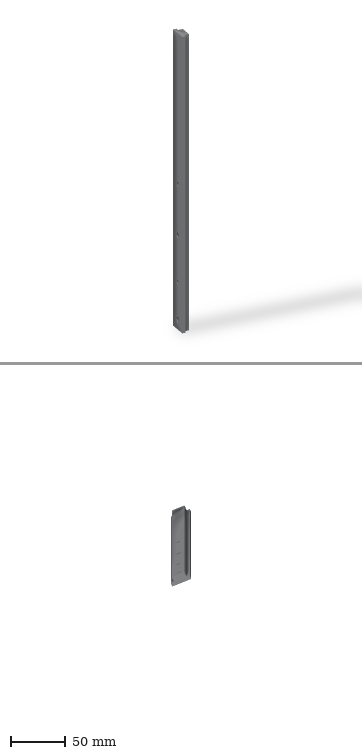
import cadquery as cq

length = 300.0
flange_width = 19.0
depth = 8.4

flange_thickness = 3.4
rib_width = 12.5

large_diameter = 5.0
small_diameter = 4.1
large_hole_heights = [10.2, 95.3]
small_hole_heights = [48.0, 147.1]


def make_bar(width, thickness):
    """Full-length bar centred on X, with its front face on Y = 0 and its bottom end on Z = 0."""
    return cq.Workplane("XY").box(width, thickness, length, centered=(True, False, False))


def make_holes(heights, diameter):
    """Cylinders along Y that pass through the flange and the rib."""
    centres = [(0, height) for height in heights]
    return cq.Workplane("XZ").pushPoints(centres).circle(diameter / 2).extrude(-depth)


flange = make_bar(flange_width, flange_thickness)
rib = make_bar(rib_width, depth)
rail = flange.union(rib)

large_holes = make_holes(large_hole_heights, large_diameter)
small_holes = make_holes(small_hole_heights, small_diameter)
result = rail.cut(large_holes).cut(small_holes)